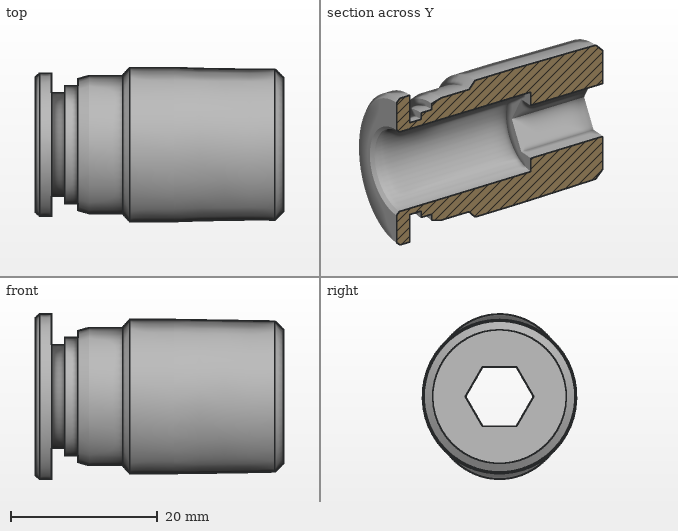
import cadquery as cq
import math

length = 33.8
flange_back = 2.23
neck_end = 4.0
ring_end = 5.78
lead_in_end = 7.35
shoulder_start = 11.85
shoulder_end = 12.88
taper_start = 18.9

neck_radius = 7.05
ring_radius = 8.05
lead_in_radius = 8.95
collar_radius = 9.4
body_diameter = 21.0
body_radius = body_diameter / 2
taper_end_radius = 10.28
end_chamfer = 1.18

flange_half_y = 9.75
flange_half_z = 11.25
flange_bevel_width = 0.55
flange_bevel_length = 0.6

bore_radius = 6.05
bore_chamfer = 0.47
bore_depth = 21.97
hex_across_flats = 8.0
hex_across_corners = hex_across_flats / math.cos(math.pi / 6)


def turned_body():
    """Stepped body behind the flange, revolved about the X axis."""
    outline = [
        (flange_back, 0),
        (flange_back, neck_radius),
        (neck_end, neck_radius),
        (neck_end, ring_radius),
        (ring_end, ring_radius),
        (ring_end, lead_in_radius),
        (lead_in_end, collar_radius),
        (shoulder_start, collar_radius),
        (shoulder_end, body_radius),
        (taper_start, body_radius),
        (length - end_chamfer, taper_end_radius),
        (length, taper_end_radius - end_chamfer),
        (length, 0),
    ]
    return cq.Workplane("XZ").polyline(outline).close().revolve(360, (0, 0), (1, 0))


def oval_flange():
    """Elliptical plate with a bevelled front rim."""
    plate = (
        cq.Workplane("YZ", origin=(flange_bevel_length, 0, 0))
        .ellipse(flange_half_y, flange_half_z)
        .extrude(flange_back - flange_bevel_length)
    )
    bevel = (
        cq.Workplane("YZ")
        .ellipse(flange_half_y - flange_bevel_width, flange_half_z - flange_bevel_width)
        .workplane(offset=flange_bevel_length)
        .ellipse(flange_half_y, flange_half_z)
        .loft(ruled=True)
    )
    return plate.union(bevel)


def tube_bore():
    """Blind bore with a chamfered mouth."""
    outline = [
        (0, 0),
        (0, bore_radius + bore_chamfer),
        (bore_chamfer, bore_radius),
        (bore_depth, bore_radius),
        (bore_depth, 0),
    ]
    return cq.Workplane("XZ").polyline(outline).close().revolve(360, (0, 0), (1, 0))


def hex_socket():
    """Through hexagon with corners pointing along Y."""
    return cq.Workplane("YZ").polygon(6, hex_across_corners).extrude(length)


result = turned_body().union(oval_flange()).cut(tube_bore()).cut(hex_socket())